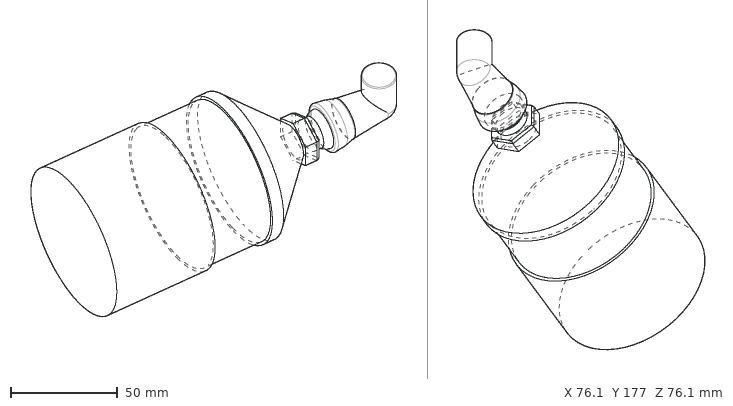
import cadquery as cq
import math

total_length = 177.0
body_radius = 76.1 / 2
neck_radius = 73.0 / 2
body_length = 54.4
neck_length = 31.7
rim_width = 6.2
cone_length = 29.0
cone_tip_radius = 9.2

hex_across_flats = 22.0
hex_length = 7.8
hex_chamfer_length = 1.6
hex_chamfer_depth = 0.5

stem_radius = 16.3 / 2
stem_length = 4.0
shoulder_length = 4.2
shoulder_radius = 10.1
shoulder_bulge = 0.5

sleeve_radius = 12.5
sleeve_lip_fillet = 1.0
sleeve_rear_length = 5.5
sleeve_middle_radius = 11.9
sleeve_flare_length = 4.8
sleeve_collar_length = 0.5
sleeve_start_radius = 10.6
taper_end_radius = 10.5

tube_radius = 8.3
outlet_height = 19.0
outlet_fillet = 0.5

front = -total_length / 2
neck_start = front + body_length
rim_start = neck_start + neck_length
cone_start = rim_start + rim_width
hex_start = cone_start + cone_length
stem_start = hex_start + hex_length
shoulder_start = stem_start + stem_length
lip_start = shoulder_start + shoulder_length
lip_end = lip_start + sleeve_lip_fillet
sleeve_middle = lip_end + sleeve_rear_length
flare_end = sleeve_middle + sleeve_flare_length
taper_start = flare_end + sleeve_collar_length
elbow_center = total_length / 2 - tube_radius


def make_body():
    """Stepped cylinder ending in a cone, revolved about Y."""
    return (
        cq.Workplane("XY")
        .moveTo(0, front)
        .lineTo(body_radius, front)
        .lineTo(body_radius, neck_start)
        .lineTo(neck_radius, neck_start)
        .lineTo(neck_radius, rim_start)
        .lineTo(body_radius, rim_start)
        .lineTo(body_radius, cone_start)
        .lineTo(cone_tip_radius, hex_start)
        .lineTo(0, hex_start)
        .close()
        .revolve(360, (0, 0), (0, 1))
    )


def make_hex_nut():
    """Hexagon with corners toward +Z and -Z and a chamfered rear face."""
    corner_radius = hex_across_flats / 2 / math.cos(math.radians(30))
    return (
        cq.Workplane("XZ", origin=(0, hex_start, 0))
        .transformed(rotate=(0, 0, 90))
        .polygon(6, 2 * corner_radius)
        .extrude(-hex_length)
        .faces(">Y")
        .chamfer(hex_chamfer_length, hex_chamfer_depth)
    )


def make_coupling():
    """Stem, rounded shoulder, flared sleeve and tapered pipe up to the elbow."""
    bulge_point = (
        (stem_radius + shoulder_radius) / 2 + shoulder_bulge,
        (shoulder_start + lip_start) / 2,
    )
    return (
        cq.Workplane("XY")
        .moveTo(0, stem_start)
        .lineTo(stem_radius, stem_start)
        .lineTo(stem_radius, shoulder_start)
        .threePointArc(bulge_point, (shoulder_radius, lip_start))
        .lineTo(sleeve_radius - sleeve_lip_fillet, lip_start)
        .radiusArc((sleeve_radius, lip_end), -sleeve_lip_fillet)
        .lineTo(sleeve_middle_radius, sleeve_middle)
        .lineTo(sleeve_start_radius, flare_end)
        .lineTo(sleeve_start_radius, taper_start)
        .lineTo(taper_end_radius, taper_start)
        .lineTo(tube_radius, elbow_center)
        .lineTo(0, elbow_center)
        .close()
        .revolve(360, (0, 0), (0, 1))
    )


def make_elbow():
    """Vertical outlet tube with a ball-shaped outer corner."""
    outlet = (
        cq.Workplane("XY", origin=(0, elbow_center, 0))
        .circle(tube_radius)
        .extrude(outlet_height)
        .faces(">Z")
        .edges()
        .fillet(outlet_fillet)
    )
    corner = cq.Workplane("XY", origin=(0, elbow_center, 0)).sphere(tube_radius)
    return outlet.union(corner)


result = make_body().union(make_hex_nut()).union(make_coupling()).union(make_elbow())